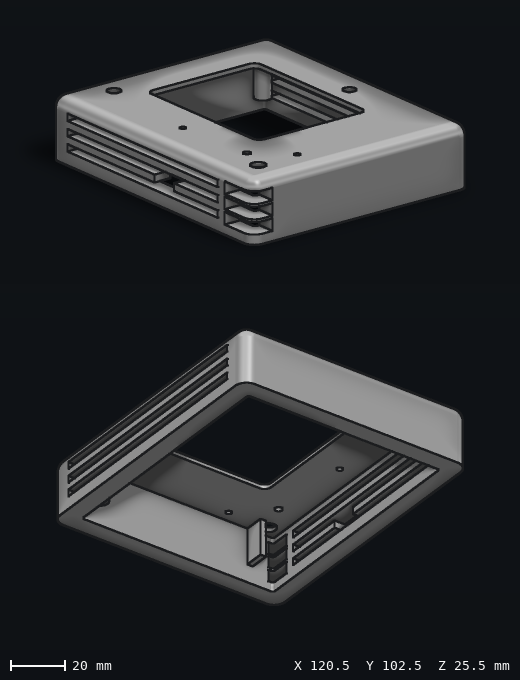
import cadquery as cq

length = 120.5
width = 102.5
height = 25.5
edge_radius = 5.1

plate_thickness = 2.0
wall = 8.0
front_wall = 7.5
cavity_corner_radius = 1.0

window_length = 66.4
window_width = 51.2
window_center = (-6.1, 3.3)
window_corner_radius = 3.0

plate_holes = [
    (5.1, 38.0, 5.2),
    (-47.8, -31.1, 5.4),
    (47.2, -38.1, 6.0),
    (47.4, -19.9, 2.4),
    (-1.0, -35.5, 2.4),
    (34.7, -33.5, 3.0),
]

slot_count = 3
slot_pitch = 6.0
vent_height = 2.9
vent_floor = 5.5
vent_margin = 10.2
front_vent_length = 89.8

notch_start = 62.3
notch_length = 11.6

corner_slot_length = 16.3
corner_slot_height = 5.0
corner_slot_floor = 4.1
corner_slot_depth = 9.6

block_floor = 7.8
block_setback = 16.9
block_depth = 2.4

post_diameter = 6.7
post_floor = 7.0
post_x = 47.6
post_y = 38.5

left = -length / 2
right = length / 2
front = -width / 2
rear = width / 2
cavity_top = height - plate_thickness


def box(x0, x1, y0, y1, z0, z1):
    """Box between two opposite corners."""
    return cq.Workplane("XY").box(x1 - x0, y1 - y0, z1 - z0, centered=False).translate((x0, y0, z0))


def make_shell():
    body = box(left, right, front, rear, 0, height)
    body = body.edges("|Z").fillet(edge_radius).faces(">Z").edges().fillet(edge_radius)
    cavity = box(left + wall, right - wall, front + front_wall, rear - wall, 0, cavity_top)
    return body.cut(cavity.edges("|Z").fillet(cavity_corner_radius))


def cut_plate_openings(body):
    window = (
        cq.Workplane("XY")
        .center(*window_center)
        .rect(window_length, window_width)
        .extrude(height)
        .edges("|Z")
        .fillet(window_corner_radius)
    )
    body = body.cut(window)
    for x, y, diameter in plate_holes:
        body = body.cut(cq.Workplane("XY").center(x, y).circle(diameter / 2).extrude(height))
    return body


def cut_vents(body):
    vent_left = left + vent_margin
    for i in range(slot_count):
        z0 = vent_floor + i * slot_pitch
        z1 = z0 + vent_height
        body = body.cut(box(vent_left, vent_left + front_vent_length, front, front + front_wall, z0, z1))
        body = body.cut(box(vent_left, right - vent_margin, rear - wall, rear, z0, z1))
    notch_left = left + notch_start
    notch = box(notch_left, notch_left + notch_length, front, front + front_wall,
                vent_floor, vent_floor + slot_pitch)
    return body.cut(notch)


def cut_corner_slots(body):
    for i in range(slot_count):
        z0 = corner_slot_floor + i * slot_pitch
        body = body.cut(box(right - corner_slot_length, right, front, front + corner_slot_depth,
                            z0, z0 + corner_slot_height))
    return body


def add_posts(body):
    for x in (-post_x, post_x):
        post = cq.Workplane("XY").workplane(offset=post_floor).center(x, post_y)
        body = body.union(post.circle(post_diameter / 2).extrude(cavity_top - post_floor))
    return body


def add_block(body):
    y0 = front + block_setback
    block = box(right - corner_slot_length, right - wall, y0, y0 + block_depth, block_floor, cavity_top)
    return body.union(block)


result = make_shell()
result = add_posts(result)
result = add_block(result)
result = cut_plate_openings(result)
result = cut_vents(result)
result = cut_corner_slots(result)